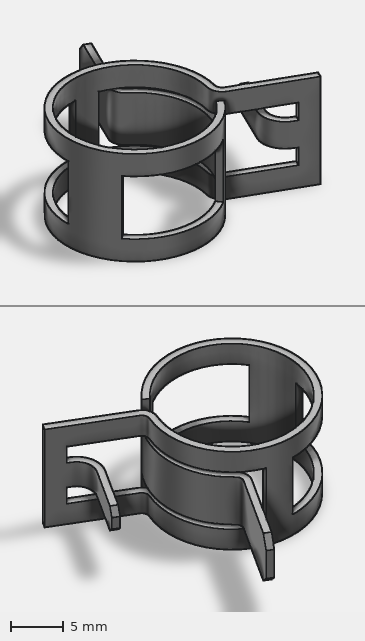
import cadquery as cq
import math


overall_width = 26.0
thickness = 0.8
ring_outer_radius = 8.63
ring_inner_radius = ring_outer_radius - thickness

band_width = 12.0
window_width = 6.97
tongue_width = 5.82
tab_width = 3.02

band_end_angle = 36.0
window_start_angle = 180 - band_end_angle
side_window_top = 15.8
side_window_bottom = -70.4

arm_direction = 45.0
arm_underside_direction = arm_direction + 270
arm_offset = 0.2
arm_tip = overall_width / 2 * math.sqrt(2) + arm_offset
arm_bend_radius = 0.8
arm_chamfer = 1.2

tongue_window_end = 16.4
tab_near_face = 13.1
tab_tip = 9.13
tab_bend_outer_radius = 2.8
tab_chamfer = 0.8

bend_centre_distance = ring_outer_radius + arm_bend_radius
bend_centre_offset = arm_offset + thickness + arm_bend_radius
bend_centre_along = math.sqrt(bend_centre_distance**2 - bend_centre_offset**2)
ring_tangent_angle = arm_direction + math.degrees(math.atan2(bend_centre_offset, bend_centre_along))


def polar(radius, angle, centre=(0, 0)):
    """Point at an angle in degrees on a circle."""
    radians = math.radians(angle)
    return (centre[0] + radius * math.cos(radians), centre[1] + radius * math.sin(radians))


def arm_point(along, offset):
    """Point given by its distance along the right arm and square to it."""
    return polar(offset, arm_direction + 90, polar(along, arm_direction))


def extrude_centred(outline, width):
    """Solid of a closed outline, half its width on each side of Z = 0."""
    return outline.close().extrude(width / 2, both=True)


def strip(start_angle, arm_end, width):
    """Strip running clockwise round the ring from start_angle, then out along the right arm."""
    bend_centre = arm_point(bend_centre_along, bend_centre_offset)
    bend_middle_angle = (ring_tangent_angle + 180 + arm_underside_direction) / 2
    bend_outer_radius = arm_bend_radius + thickness
    end_angle = ring_tangent_angle
    if start_angle < end_angle:
        end_angle -= 360
    middle_angle = (start_angle + end_angle) / 2
    outline = (
        cq.Workplane("XY")
        .moveTo(*polar(ring_outer_radius, start_angle))
        .threePointArc(polar(ring_outer_radius, middle_angle), polar(ring_outer_radius, end_angle))
        .threePointArc(
            polar(arm_bend_radius, bend_middle_angle, bend_centre),
            arm_point(bend_centre_along, arm_offset + thickness),
        )
        .lineTo(*arm_point(arm_end, arm_offset + thickness))
        .lineTo(*arm_point(arm_end, arm_offset))
        .lineTo(*arm_point(bend_centre_along, arm_offset))
        .threePointArc(
            polar(bend_outer_radius, bend_middle_angle, bend_centre),
            polar(ring_inner_radius, end_angle),
        )
        .threePointArc(polar(ring_inner_radius, middle_angle), polar(ring_inner_radius, start_angle))
    )
    return extrude_centred(outline, width)


def chamfer_tip(body, tip_point, chamfer):
    """Chamfer the upper and lower corners of the end face that holds tip_point."""
    end_face = body.faces(cq.selectors.NearestToPointSelector((*tip_point, 0)))
    return end_face.edges("not |Z").chamfer(chamfer)


def side_window():
    """Cutter for the window on the right side of the ring."""
    reach = 2 * ring_outer_radius
    middle_angle = (side_window_bottom + side_window_top) / 2
    outline = (
        cq.Workplane("XY")
        .moveTo(0, 0)
        .lineTo(*polar(reach, side_window_bottom))
        .threePointArc(polar(reach, middle_angle), polar(reach, side_window_top))
    )
    return extrude_centred(outline, window_width)


def tab():
    """Tab that starts at the end of the tongue window and bends away from the arm."""
    inner_radius = tab_bend_outer_radius - thickness
    centre_along = tab_near_face + tab_bend_outer_radius
    centre_offset = arm_offset + tab_bend_outer_radius
    centre = arm_point(centre_along, centre_offset)
    tab_underside_direction = arm_direction + 180
    middle_angle = (tab_underside_direction + arm_underside_direction) / 2
    tab_far_face = tab_near_face + thickness
    outline = (
        cq.Workplane("XY")
        .moveTo(*arm_point(tongue_window_end, arm_offset))
        .lineTo(*arm_point(centre_along, arm_offset))
        .threePointArc(
            polar(tab_bend_outer_radius, middle_angle, centre),
            arm_point(tab_near_face, centre_offset),
        )
        .lineTo(*arm_point(tab_near_face, tab_tip))
        .lineTo(*arm_point(tab_far_face, tab_tip))
        .lineTo(*arm_point(tab_far_face, centre_offset))
        .threePointArc(
            polar(inner_radius, middle_angle, centre),
            arm_point(centre_along, arm_offset + thickness),
        )
        .lineTo(*arm_point(tongue_window_end, arm_offset + thickness))
    )
    tip_middle = arm_point(tab_near_face + thickness / 2, tab_tip)
    return chamfer_tip(extrude_centred(outline, tab_width), tip_middle, tab_chamfer)


band = strip(band_end_angle, arm_tip, band_width)
band = band.cut(strip(window_start_angle, tongue_window_end, window_width))
band = band.cut(side_window()).cut(side_window().mirror("YZ"))

tongue = strip(window_start_angle, arm_tip, tongue_width)
tongue = chamfer_tip(tongue, arm_point(arm_tip, arm_offset + thickness / 2), arm_chamfer)
tongue = tongue.mirror("YZ")

result = band.union(tongue).union(tab())